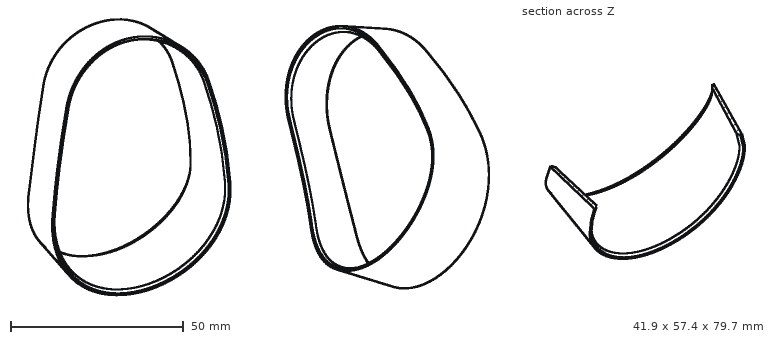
import cadquery as cq
import math

WALL = 1.3
BEVEL_WIDTH = 0.6
BEVEL_DEPTH = 0.95

FLANK_SWELL = 0.7
FLANK_TURN = math.radians(3)
SAMPLES = 12

LOW_RIM = {
    "top": (3.75, 15.5, 21.45, 18.3),
    "bottom": (-0.4, -13.2, 26.6, 26.6),
    "bend": ((-21.05, 33.7), (-15.2, 21.5), (-5.1, -5.1), (-3.1, -19.9), (-3.0, -39.9)),
    "inward": 1,
}
HIGH_RIM = {
    "top": (4.15, 20.1, 23.4, 19.8),
    "bottom": (0.0, -7.3, 28.6, 27.8),
    "bend": ((-5.1, 39.9), (2.3, 26.9), (13.5, 0.4), (20.8, -35.2)),
    "inward": -1,
}


def bend_x(points, z):
    """X of the smooth polynomial curve through the (x, z) points at this height."""
    total = 0
    for x, own_z in points:
        weight = 1
        for _, other_z in points:
            if other_z != own_z:
                weight *= (z - other_z) / (own_z - other_z)
        total += x * weight
    return total


def reach(ellipse, angle):
    """Distance from the ellipse center to its tangent with this normal."""
    return math.hypot(ellipse[2] * math.cos(angle), ellipse[3] * math.sin(angle))


def tangent_angle(top, bottom, low, high):
    """Normal direction of the common outer tangent, found by bisection."""

    def gap(angle):
        top_side = top[0] * math.cos(angle) + top[1] * math.sin(angle) + reach(top, angle)
        bottom_side = bottom[0] * math.cos(angle) + bottom[1] * math.sin(angle) + reach(bottom, angle)
        return top_side - bottom_side

    low_sign = gap(low) > 0
    for _ in range(50):
        middle = (low + high) / 2
        if (gap(middle) > 0) == low_sign:
            low = middle
        else:
            high = middle
    return (low + high) / 2


def ellipse_point(ellipse, angle):
    """Point of the ellipse whose outward normal has this angle."""
    y, z, half_width, half_height = ellipse
    distance = reach(ellipse, angle)
    return (
        y + half_width**2 * math.cos(angle) / distance,
        z + half_height**2 * math.sin(angle) / distance,
    )


def end_points(ellipse, start, stop):
    """Points around one round end, between two normal directions."""
    step = (stop - start) / SAMPLES
    return [ellipse_point(ellipse, start + step * i) for i in range(SAMPLES + 1)]


def flank_points(start, stop, angle):
    """Points along a flank, swelling outwards along its normal."""
    points = []
    for i in range(SAMPLES + 1):
        t = i / SAMPLES
        swell = FLANK_SWELL * 4 * t * (1 - t)
        y = start[0] + (stop[0] - start[0]) * t + swell * math.cos(angle)
        z = start[1] + (stop[1] - start[1]) * t + swell * math.sin(angle)
        points.append((y, z))
    return points


def rail(rim, inset, depth):
    """Four edges around a rim, set in from its outside and back from its end."""
    top, bottom = [
        (y, z, half_width - inset, half_height - inset)
        for y, z, half_width, half_height in (rim["top"], rim["bottom"])
    ]
    right = tangent_angle(top, bottom, -math.pi / 2, math.pi / 2)
    left = tangent_angle(top, bottom, math.pi / 2, 3 * math.pi / 2)
    top_end = end_points(top, right + FLANK_TURN, left - FLANK_TURN)
    bottom_end = end_points(bottom, left + FLANK_TURN, right - FLANK_TURN + 2 * math.pi)
    outline = (
        top_end,
        flank_points(top_end[-1], bottom_end[0], left),
        bottom_end,
        flank_points(bottom_end[-1], top_end[0], right),
    )

    def bent(y, z):
        x = bend_x(rim["bend"], z)
        return cq.Vector(x + rim["inward"] * depth, y, z)

    return [cq.Edge.makeSpline([bent(y, z) for y, z in points]) for points in outline]


def rim_rails(rim):
    """Rails of one rim: outer edge, start of the bevel, end of the bevel."""
    return [
        rail(rim, 0, 0),
        rail(rim, WALL - BEVEL_WIDTH, 0),
        rail(rim, WALL, BEVEL_DEPTH),
    ]


rails = rim_rails(LOW_RIM) + rim_rails(HIGH_RIM)[::-1]
faces = []
for current, following in zip(rails, rails[1:] + rails[:1]):
    for first_edge, second_edge in zip(current, following):
        faces.append(cq.Face.makeRuledSurface(first_edge, second_edge))

band = cq.Solid.makeSolid(cq.Shell.makeShell(faces))
result = cq.Workplane("XY").newObject([band])